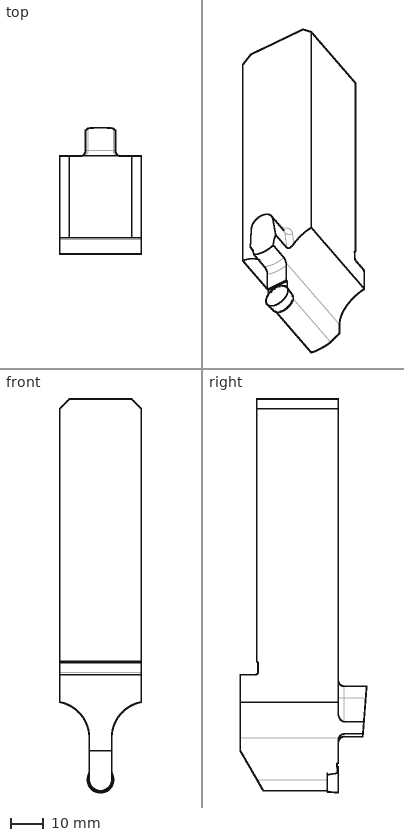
import cadquery as cq
import math

shank_size = 24.93
total_height = 120.0
top_chamfer = 3.0
half_width = shank_size / 2

ledge_projection = 5.0
ledge_top_z = 36.0
front_y = -(shank_size + ledge_projection)

relief_depth = 0.4
relief_height = 3.7
relief_corner_radius = 0.8

blade_width = 6.9
blade_radius = blade_width / 2
blade_bottom_z = 0.6
blade_center_z = blade_bottom_z + blade_radius
neck_radius = 11.0
neck_bottom_z = 16.8
bevel_top_z = 12.8
bevel_angle = 30.0

boss_projection = 8.65
boss_top_z = 32.5
boss_bottom_z = 17.05
boss_top_radius = 3.9
boss_side_angle = 5.6
boss_end_angle = 4.5
boss_bottom_bulge = 1.8
boss_fillet_radius = 1.7
root_margin = 0.5

insert_radius = 4.0
insert_seat_radius = 3.75
insert_thickness = 3.4
insert_center_z = insert_radius
insert_clearance_depth = 0.4
insert_clearance_top_z = 9.0


def angle_ratios(angle):
    """Cosine, sine and tangent of an angle in degrees."""
    radians = math.radians(angle)
    return math.cos(radians), math.sin(radians), math.tan(radians)


def side_body():
    """Shank, ledge and beveled blade as one full-width prism, drawn in the YZ plane."""
    bevel_run = (bevel_top_z - blade_bottom_z) * math.tan(math.radians(bevel_angle))
    relief_y = -shank_size + relief_depth
    relief_top_z = ledge_top_z + relief_height
    corner = relief_corner_radius
    corner_mid = corner * (1 - math.sqrt(0.5))
    return (
        cq.Workplane("YZ")
        .moveTo(0, blade_bottom_z)
        .lineTo(0, total_height)
        .lineTo(-shank_size, total_height)
        .lineTo(-shank_size, relief_top_z + relief_depth)
        .lineTo(relief_y, relief_top_z)
        .lineTo(relief_y, ledge_top_z + corner)
        .threePointArc(
            (relief_y - corner_mid, ledge_top_z + corner_mid),
            (relief_y - corner, ledge_top_z),
        )
        .lineTo(front_y, ledge_top_z)
        .lineTo(front_y, bevel_top_z)
        .lineTo(front_y + bevel_run, blade_bottom_z)
        .close()
        .extrude(half_width, both=True)
    )


def boss():
    """Boss standing out of the back face, with its end face sloping back toward the bottom."""
    side_cos, side_sin, side_tan = angle_ratios(boss_side_angle)
    top_center_z = boss_top_z - boss_top_radius
    tangent_x = boss_top_radius * side_cos
    tangent_z = top_center_z + boss_top_radius * side_sin
    corner_z = boss_bottom_z + boss_bottom_bulge
    corner_x = tangent_x + (tangent_z - corner_z) * side_tan
    prism = (
        cq.Workplane("XZ")
        .moveTo(-corner_x, corner_z)
        .lineTo(-tangent_x, tangent_z)
        .threePointArc((0, boss_top_z), (tangent_x, tangent_z))
        .lineTo(corner_x, corner_z)
        .threePointArc((0, boss_bottom_z), (-corner_x, corner_z))
        .close()
        .extrude(-boss_projection)
    )
    end_setback = (boss_top_z - boss_bottom_z) * math.tan(math.radians(boss_end_angle))
    end_wedge = (
        cq.Workplane("YZ")
        .moveTo(boss_projection, boss_top_z)
        .lineTo(boss_projection, boss_bottom_z)
        .lineTo(boss_projection - end_setback, boss_bottom_z)
        .close()
        .extrude(half_width, both=True)
    )
    return prism.cut(end_wedge)


def front_outline():
    """Prism through the full depth that carries the chamfered top, neck arcs and round tip."""
    neck_center_x = blade_radius + neck_radius
    shoulder_z = neck_bottom_z + math.sqrt(neck_radius**2 - (neck_center_x - half_width) ** 2)
    shoulder_angle = math.atan2(shoulder_z - neck_bottom_z, neck_center_x - half_width)
    neck_mid_x = neck_center_x - neck_radius * math.cos(shoulder_angle / 2)
    neck_mid_z = neck_bottom_z + neck_radius * math.sin(shoulder_angle / 2)
    chamfer_z = total_height - top_chamfer
    return (
        cq.Workplane("XZ", origin=(0, boss_projection, 0))
        .moveTo(-half_width, shoulder_z)
        .lineTo(-half_width, chamfer_z)
        .lineTo(-half_width + top_chamfer, total_height)
        .lineTo(half_width - top_chamfer, total_height)
        .lineTo(half_width, chamfer_z)
        .lineTo(half_width, shoulder_z)
        .threePointArc((neck_mid_x, neck_mid_z), (blade_radius, neck_bottom_z))
        .lineTo(blade_radius, blade_center_z)
        .threePointArc((0, blade_bottom_z), (-blade_radius, blade_center_z))
        .lineTo(-blade_radius, neck_bottom_z)
        .threePointArc((-neck_mid_x, neck_mid_z), (-half_width, shoulder_z))
        .close()
        .extrude(boss_projection - front_y)
    )


def make_insert():
    """Tapered disc, cutting edge level with the back face and seat deeper in the blade."""
    cone = cq.Solid.makeCone(
        insert_radius,
        insert_seat_radius,
        insert_thickness,
        pnt=cq.Vector(0, 0, insert_center_z),
        dir=cq.Vector(0, -1, 0),
    )
    return cq.Workplane("XY").newObject([cone])


def make_holder(seated_insert):
    """Toolholder with boss, blade and the pocket that takes the insert."""
    boss_root = cq.selectors.BoxSelector(
        (-half_width + root_margin, -root_margin, blade_bottom_z + root_margin),
        (half_width - root_margin, root_margin, total_height - root_margin),
    )
    body = side_body().union(boss())
    body = body.edges(boss_root).fillet(boss_fillet_radius)
    body = body.intersect(front_outline())
    clearance = cq.Workplane("XY").box(
        blade_width,
        insert_clearance_depth,
        insert_clearance_top_z,
        centered=(True, False, False),
    )
    clearance = clearance.translate((0, -insert_clearance_depth, 0))
    return body.cut(clearance).cut(seated_insert)


insert = make_insert()
holder = make_holder(insert)

result = cq.Compound.makeCompound([holder.val(), insert.val()])